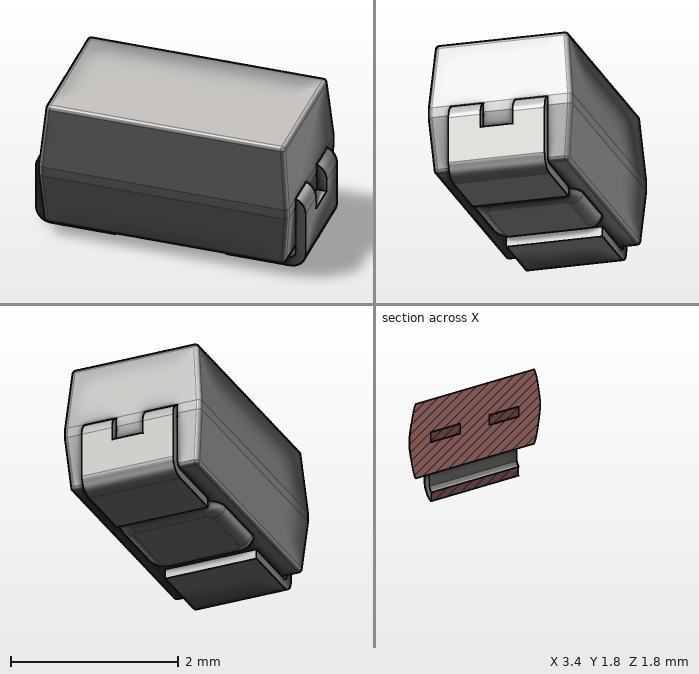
import cadquery as cq
import math

overall_length = 3.4
overall_height = 1.8

lead_thickness = 0.125
lead_width = 1.2
lead_bend_radius = 0.2
lead_inner_radius = lead_bend_radius - lead_thickness
lead_top = 0.975
foot_length = 1.0
notch_width = 0.405
notch_floor = 0.61

housing_length = overall_length - 2 * lead_thickness
housing_width = 1.8
housing_bottom = 0.153
band_bottom = 0.85
band_top = lead_top
draft_angle = 5.0
edge_radius = 0.05

pad_length = 1.217
pad_width = 1.387
pad_bottom = 0.03
pad_corner_radius = 0.23
pad_edge_radius = 0.17
pad_height = 0.205


def drafted_block(start_height, rise):
    """Block that narrows away from the parting band; a negative rise extends it downward."""
    inset = abs(rise) * math.tan(math.radians(draft_angle))
    return (
        cq.Workplane("XY")
        .workplane(offset=start_height)
        .rect(housing_length, housing_width)
        .workplane(offset=rise)
        .rect(housing_length - 2 * inset, housing_width - 2 * inset)
        .loft(ruled=True)
    )


def make_pad():
    """Rounded pad, with its upper part sunk into the housing underside."""
    return (
        cq.Workplane("XY")
        .workplane(offset=pad_bottom)
        .rect(pad_length, pad_width)
        .extrude(pad_height)
        .edges("|Z")
        .fillet(pad_corner_radius)
        .faces("<Z")
        .edges()
        .fillet(pad_edge_radius)
    )


def make_housing():
    """Housing with drafted halves above and below a straight band, and a pad underneath."""
    band = (
        cq.Workplane("XY")
        .workplane(offset=band_bottom)
        .rect(housing_length, housing_width)
        .extrude(band_top - band_bottom)
    )
    upper = drafted_block(band_top, overall_height - band_top)
    lower = drafted_block(band_bottom, housing_bottom - band_bottom)
    shell = band.union(upper).union(lower)
    corner_edges = shell.edges("not #Z")
    end_edges = shell.faces("<Z or >Z").edges()
    shell = shell.newObject(corner_edges.vals() + end_edges.vals()).fillet(edge_radius)
    return shell.union(make_pad())


def make_lead(side):
    """C-shaped lead whose upper bend enters one end of the housing; side is -1 or 1 along X."""
    outer_x = side * overall_length / 2
    inner_x = outer_x - side * lead_thickness
    foot_end_x = outer_x - side * foot_length
    bend_x = outer_x - side * lead_bend_radius
    diagonal = math.sqrt(0.5)
    upper_bend_z = lead_top - lead_bend_radius
    upper_outer_mid = (
        bend_x + side * lead_bend_radius * diagonal,
        upper_bend_z + lead_bend_radius * diagonal,
    )
    upper_inner_mid = (
        bend_x + side * lead_inner_radius * diagonal,
        upper_bend_z + lead_inner_radius * diagonal,
    )
    outer_mid = (
        bend_x + side * lead_bend_radius * diagonal,
        lead_bend_radius * (1 - diagonal),
    )
    inner_mid = (
        bend_x + side * lead_inner_radius * diagonal,
        lead_bend_radius - lead_inner_radius * diagonal,
    )
    strip = (
        cq.Workplane("XZ")
        .moveTo(foot_end_x, 0)
        .lineTo(bend_x, 0)
        .threePointArc(outer_mid, (outer_x, lead_bend_radius))
        .lineTo(outer_x, upper_bend_z)
        .threePointArc(upper_outer_mid, (bend_x, lead_top))
        .lineTo(bend_x, lead_top - lead_thickness)
        .threePointArc(upper_inner_mid, (inner_x, upper_bend_z))
        .lineTo(inner_x, lead_bend_radius)
        .threePointArc(inner_mid, (bend_x, lead_thickness))
        .lineTo(foot_end_x, lead_thickness)
        .close()
        .extrude(lead_width / 2, both=True)
    )
    notch = (
        cq.Workplane("XY")
        .box(2 * lead_bend_radius, notch_width, lead_top, centered=(True, True, False))
        .translate((outer_x, 0, notch_floor))
    )
    return strip.cut(notch)


leads = [make_lead(side) for side in (-1, 1)]
housing = make_housing()
for lead in leads:
    housing = housing.cut(lead)

result = cq.Compound.makeCompound([housing.solids().val(), *[lead.val() for lead in leads]])